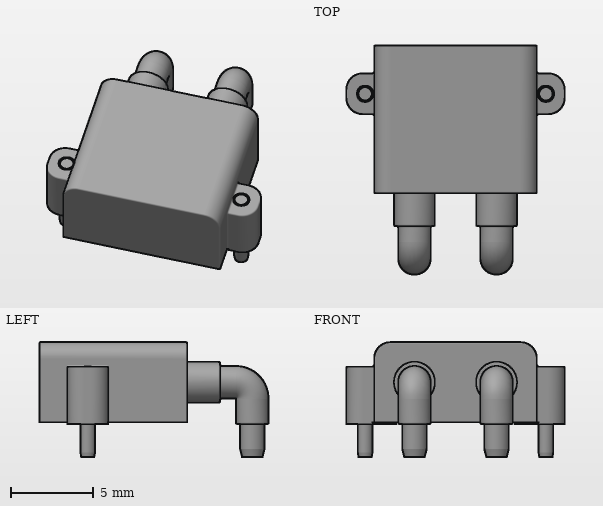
import cadquery as cq


edge_round = 0.1
select_margin = 0.01

housing_width = 9.9
housing_depth = 9.0
housing_height = 4.9
housing_corner_radius = 1.0

overall_width = 13.3
ear_breadth = 2.5
ear_corner_radius = 1.0
ear_top = 3.4
ear_center_y = 6.05
foot_length = 3.04
standoff = 0.1

pin_x = 5.5
pin_diameter = 0.9
pin_tip_diameter = 0.81
pin_tip_length = 0.28
pin_groove_width = 0.1
leg_end = -2.1

pipe_spacing = 5.0
collar_diameter = 2.5
collar_length = 2.0
pipe_diameter = 2.0
pipe_reach = 4.95
elbow_inner_radius = 0.007
leg_diameter = 1.5
leg_tip_diameter = 1.25
leg_tip_length = 0.5

ear_bottom = -standoff
pipe_radius = pipe_diameter / 2
bend_radius = pipe_radius + elbow_inner_radius
pipe_axis_z = housing_height / 2
leg_y = pipe_radius - pipe_reach
bend_start_y = leg_y + bend_radius
bend_end_z = pipe_axis_z - bend_radius


def make_housing():
    """Block with two large top corners and rounded front and back outlines."""
    block = cq.Workplane("XY").box(
        housing_width, housing_depth, housing_height, centered=(True, False, False)
    )
    block = block.edges("|Y and >Z").fillet(housing_corner_radius)
    outlines = block.faces("<Y or >Y").edges("not <Z")
    return outlines.fillet(edge_round)


def ear_block(side, bottom, top):
    """Upright block with two round outer corners, reaching under the housing."""
    center_x = side * (overall_width - foot_length) / 2
    outer_edges = "|Z and >X" if side > 0 else "|Z and <X"
    block = (
        cq.Workplane("XY", origin=(center_x, ear_center_y, bottom))
        .rect(foot_length, ear_breadth)
        .extrude(top - bottom)
    )
    return block.edges(outer_edges).fillet(ear_corner_radius)


def add_ears(body):
    """Join both ears to the housing and blend the joints."""
    for side in (-1, 1):
        body = body.union(ear_block(side, 0, ear_top).faces(">Z").edges().fillet(edge_round))
    wall_x = housing_width / 2
    for side in (-1, 1):
        joint = cq.selectors.BoxSelector(
            (side * wall_x - select_margin, ear_center_y - ear_breadth, edge_round),
            (side * wall_x + select_margin, ear_center_y + ear_breadth, ear_top + edge_round),
        )
        body = body.edges(joint).fillet(edge_round)
    for side in (-1, 1):
        body = body.union(ear_block(side, ear_bottom, 0))
    return body


def tapered_leg(x, y, top, diameter, tip_diameter, tip_length):
    """Round leg going down to the common end level, with a conical tip."""
    profile = [
        (0, top),
        (diameter / 2, top),
        (diameter / 2, leg_end + tip_length),
        (tip_diameter / 2, leg_end),
        (0, leg_end),
    ]
    leg = cq.Workplane("XZ").polyline(profile).close().revolve(360, (0, 0), (0, 1))
    return leg.translate((x, y, 0))


def pin_groove(x):
    """V-shaped ring around the pin's upper end, opened upward beside the wall."""
    inner_radius = (pin_diameter - pin_groove_width) / 2
    outer_radius = (pin_diameter + pin_groove_width) / 2
    profile = [
        (inner_radius, ear_top),
        (pin_diameter / 2, ear_top - pin_groove_width / 2),
        (outer_radius, ear_top),
        (outer_radius, ear_top + edge_round),
        (inner_radius, ear_top + edge_round),
    ]
    ring = cq.Workplane("XZ").polyline(profile).close().revolve(360, (0, 0), (0, 1))
    return ring.translate((x, ear_center_y, 0))


def make_light_pipe():
    """Collar, straight pipe, right-angle elbow and leg of one pipe at X = 0."""
    collar = (
        cq.Workplane("XZ", origin=(0, 0, pipe_axis_z))
        .circle(collar_diameter / 2)
        .extrude(collar_length)
        .faces("<Y").edges().fillet(edge_round)
    )
    straight = (
        cq.Workplane("XZ", origin=(0, 0, pipe_axis_z))
        .circle(pipe_radius)
        .extrude(-bend_start_y)
    )
    neck = cq.selectors.BoxSelector(
        (-pipe_diameter, -collar_length - select_margin, 0),
        (pipe_diameter, -collar_length + select_margin, housing_height),
    )
    horizontal = collar.union(straight)
    horizontal = horizontal.edges(neck).edges(cq.selectors.RadiusNthSelector(0)).fillet(edge_round)
    elbow = (
        cq.Workplane("XZ", origin=(0, bend_start_y, pipe_axis_z))
        .circle(pipe_radius)
        .revolve(90, (-0.14, -bend_radius), (0.14, -bend_radius))
    )
    vertical = (
        cq.Workplane("XY", origin=(0, leg_y, ear_bottom))
        .circle(pipe_radius)
        .extrude(bend_end_z - ear_bottom)
        .faces("<Z").edges().fillet(edge_round)
    )
    leg = tapered_leg(0, leg_y, ear_bottom, leg_diameter, leg_tip_diameter, leg_tip_length)
    return horizontal.union(elbow).union(vertical).union(leg)


result = add_ears(make_housing())

for side in (-1, 1):
    pin = tapered_leg(
        side * pin_x, ear_center_y, ear_bottom, pin_diameter, pin_tip_diameter, pin_tip_length
    )
    result = result.union(pin).cut(pin_groove(side * pin_x))

light_pipe = make_light_pipe()
for side in (-1, 1):
    result = result.union(light_pipe.translate((side * pipe_spacing / 2, 0, 0)))